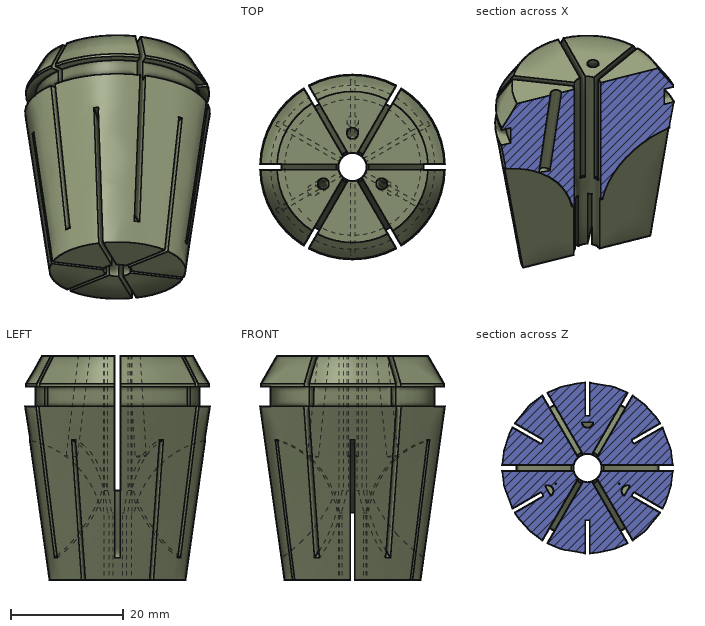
import cadquery as cq
import math

HEIGHT = 40.0
MAX_RADIUS = 16.5
BORE_RADIUS = 2.5

TAPER_TOP_Z = 31.0
TAPER_ANGLE = math.radians(8.0)
GROOVE_RADIUS = 14.65
LIP_RADIUS = 16.35
LIP_BOTTOM_Z = 34.5
LIP_TOP_Z = 35.0
HEAD_ANGLE = math.radians(30.0)
HEAD_TOP_RADIUS = LIP_RADIUS - (HEIGHT - LIP_TOP_Z) * math.tan(HEAD_ANGLE)
TAPER_BOTTOM_RADIUS = MAX_RADIUS - TAPER_TOP_Z * math.tan(TAPER_ANGLE)

SLOT_COUNT = 6
SLOT_PITCH = 360.0 / SLOT_COUNT
SLOT_CORE_RADIUS = 2.9
SLOT_CLEARANCE = 1.0
UPPER_SLOT_WIDTH = 1.0
UPPER_SLOT_CORE_Z = 16.0
UPPER_SLOT_RIM_Z = 4.0
UPPER_SLOT_ARC_RADIUS = 27.5
LOWER_SLOT_WIDTH = 0.8
LOWER_SLOT_CORE_Z = 12.0
LOWER_SLOT_RIM_Z = 25.0
LOWER_SLOT_ARC_RADIUS = 16.5

HOLE_COUNT = 3
HOLE_DIAMETER = 2.0
HOLE_CENTRE_RADIUS = 6.0
HOLE_TILT = 7.0
HOLE_DEPTH = 18.0
HOLE_START_ANGLE = 90.0


def taper_radius(z):
    """Radius of the long outer taper at height z."""
    return TAPER_BOTTOM_RADIUS + z * math.tan(TAPER_ANGLE)


def make_body():
    """Turned blank with its through bore."""
    profile = [
        (BORE_RADIUS, 0),
        (TAPER_BOTTOM_RADIUS, 0),
        (MAX_RADIUS, TAPER_TOP_Z),
        (GROOVE_RADIUS, TAPER_TOP_Z),
        (GROOVE_RADIUS, LIP_BOTTOM_Z),
        (LIP_RADIUS, LIP_BOTTOM_Z),
        (LIP_RADIUS, LIP_TOP_Z),
        (HEAD_TOP_RADIUS, HEIGHT),
        (BORE_RADIUS, HEIGHT),
    ]
    return cq.Workplane("XZ").polyline(profile).close().revolve(360, (0, 0, 0), (0, 1, 0))


def arc_middle(start, end, radius):
    """Middle point of the arc from start to end that sags toward the axis."""
    dx = end[0] - start[0]
    dz = end[1] - start[1]
    chord = math.hypot(dx, dz)
    sag = radius - math.sqrt(radius**2 - (chord / 2) ** 2)
    side = math.copysign(1, dz)
    mid_x = (start[0] + end[0]) / 2 - side * dz / chord * sag
    mid_z = (start[1] + end[1]) / 2 + side * dx / chord * sag
    return mid_x, mid_z


def make_slot(width, core_z, rim_z, arc_radius, open_z):
    """Cutter for one radial slot along +X, open toward open_z, with a curved floor."""
    core = (SLOT_CORE_RADIUS, core_z)
    rim = (taper_radius(rim_z), rim_z)
    outside = MAX_RADIUS + SLOT_CLEARANCE
    return (
        cq.Workplane("XZ")
        .moveTo(0, core_z)
        .lineTo(*core)
        .threePointArc(arc_middle(core, rim, arc_radius), rim)
        .lineTo(outside, rim_z)
        .lineTo(outside, open_z)
        .lineTo(0, open_z)
        .close()
        .extrude(width / 2, both=True)
    )


def make_hole():
    """Cutter for one leaning hole, placed along +X."""
    top_overrun = HOLE_DIAMETER
    return (
        cq.Workplane("XY")
        .circle(HOLE_DIAMETER / 2)
        .extrude(HOLE_DEPTH + top_overrun)
        .translate((0, 0, -HOLE_DEPTH))
        .rotate((0, 0, 0), (0, 1, 0), -HOLE_TILT)
        .translate((HOLE_CENTRE_RADIUS, 0, HEIGHT))
    )


def cut_around(body, cutter, count, start_angle):
    """Cut equally spaced copies of a cutter around the Z axis."""
    for i in range(count):
        angle = start_angle + i * 360.0 / count
        body = body.cut(cutter.rotate((0, 0, 0), (0, 0, 1), angle))
    return body


upper_slot = make_slot(
    UPPER_SLOT_WIDTH, UPPER_SLOT_CORE_Z, UPPER_SLOT_RIM_Z, UPPER_SLOT_ARC_RADIUS, HEIGHT + SLOT_CLEARANCE
)
lower_slot = make_slot(
    LOWER_SLOT_WIDTH, LOWER_SLOT_CORE_Z, LOWER_SLOT_RIM_Z, LOWER_SLOT_ARC_RADIUS, -SLOT_CLEARANCE
)

result = make_body()
result = cut_around(result, make_hole(), HOLE_COUNT, HOLE_START_ANGLE)
result = cut_around(result, upper_slot, SLOT_COUNT, 0)
result = cut_around(result, lower_slot, SLOT_COUNT, SLOT_PITCH / 2)